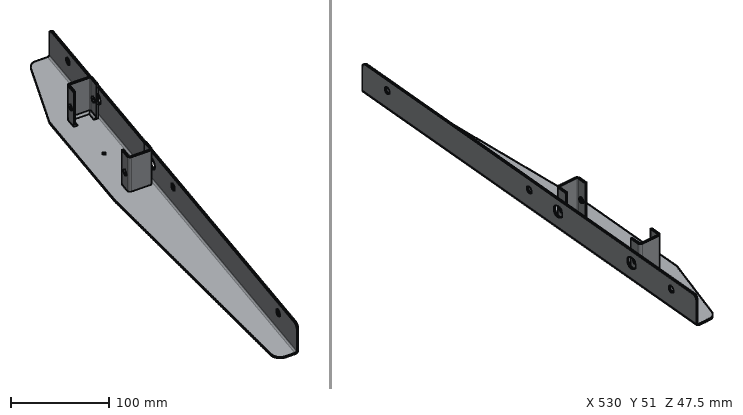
import cadquery as cq

length = 530.0
depth = 51.0
sheet = 2.0
wall_height = 38.0
bend_radius = 4.0
wall_corner_radius = 5.5

left_end_depth = 25.0
right_end_depth = 25.5
front_edge_start = 91.0
front_edge_end = 230.0
left_corner_radius = 9.5
right_corner_radius = 11.5

mount_hole_diameter = 8.0
mount_hole_spacing = 225.0
mount_hole_height = 25.0

channel_center = 161.0
channel_span = 132.5
channel_flange = 15.0
channel_back = -5.0
channel_depth = 28.0
channel_top = 47.5
channel_bend_radius = 3.0
weld_leg = 2.5

channel_hole_diameter = 7.0
channel_hole_height = 23.0
channel_hole_inset = 8.0
access_hole_diameter = 14.0

base_hole_diameter = 3.5
base_hole_y = -25.5

channel_middle_y = channel_back - channel_depth / 2
channel_outer_x = channel_center - channel_span / 2


def make_angle():
    """L-section along X, bent along its lower back edge."""
    section = (
        cq.Workplane("YZ")
        .moveTo(-depth, 0)
        .lineTo(-bend_radius, 0)
        .radiusArc((0, bend_radius), -bend_radius)
        .lineTo(0, wall_height)
        .lineTo(-sheet, wall_height)
        .lineTo(-sheet, bend_radius)
        .radiusArc((-bend_radius, sheet), bend_radius - sheet)
        .lineTo(-depth, sheet)
        .close()
    )
    return section.extrude(length)


def make_base_outline():
    """Upright prism that trims the base plate to its tapered shape."""
    outline = (
        cq.Workplane("XY")
        .polyline([
            (0, 0),
            (0, -left_end_depth),
            (front_edge_start, -depth),
            (front_edge_end, -depth),
            (length, -right_end_depth),
            (length, 0),
        ])
        .close()
        .extrude(channel_top)
    )
    outline = outline.edges(cq.NearestToPointSelector((0, -left_end_depth, channel_top / 2))).fillet(
        left_corner_radius
    )
    return outline.edges(cq.NearestToPointSelector((length, -right_end_depth, channel_top / 2))).fillet(
        right_corner_radius
    )


def upright_block(inset, bottom, top):
    """Sharp-cornered block inset from the channel's outside, open side flush with the flange ends."""
    return (
        cq.Workplane("XY")
        .box(channel_flange - inset, channel_depth - 2 * inset, top - bottom, centered=(False, True, False))
        .translate((channel_outer_x + inset, channel_middle_y, bottom))
    )


def make_left_channel():
    """Bent channel with a sloping weld along the inside of its foot."""
    web_edges = "|Z and <X"
    inner_bend = channel_bend_radius - sheet
    outside = upright_block(0, 0, channel_top).edges(web_edges).fillet(channel_bend_radius)
    cavity = upright_block(sheet, sheet, channel_top).edges(web_edges).fillet(inner_bend)
    weld_face = upright_block(sheet, sheet, channel_top).faces("<Z").edges("not >X").chamfer(weld_leg)
    return outside.cut(cavity.intersect(weld_face))


def hole_along_y(x, z, diameter, reach=depth):
    """Cylinder running from the wall's back face toward -Y."""
    return cq.Workplane("XZ").center(x, z).circle(diameter / 2).extrude(reach)


result = make_angle().intersect(make_base_outline())
result = result.edges("|Y and >Z").fillet(wall_corner_radius)

left_channel = make_left_channel()
right_channel = left_channel.mirror("YZ", (channel_center, 0, 0))
result = result.union(left_channel).union(right_channel).clean()

for position in (-1, 0, 1):
    mount_x = length / 2 + position * mount_hole_spacing
    result = result.cut(hole_along_y(mount_x, mount_hole_height, mount_hole_diameter))

for side in (-1, 1):
    channel_hole_x = channel_center + side * (channel_span / 2 - channel_hole_inset)
    result = result.cut(hole_along_y(channel_hole_x, channel_hole_height, channel_hole_diameter))
    result = result.cut(hole_along_y(channel_hole_x, channel_hole_height, access_hole_diameter, sheet))

base_hole = (
    cq.Workplane("XY")
    .center(channel_center, base_hole_y)
    .circle(base_hole_diameter / 2)
    .extrude(sheet)
)
result = result.cut(base_hole)